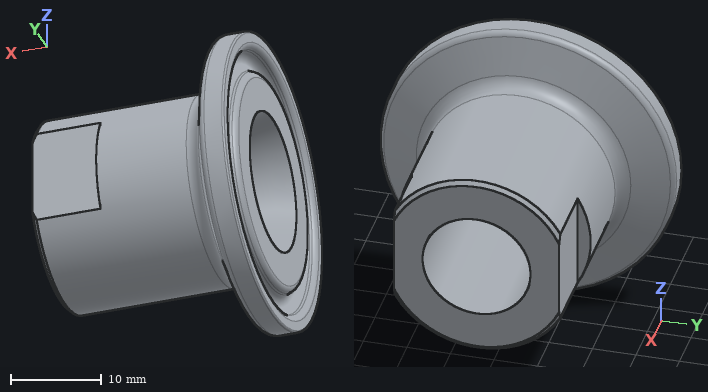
import cadquery as cq
import math

length = 25.0
flange_radius = 34.0 / 2
body_radius = 22.0 / 2

rim_thickness = 2.85
taper_angle = 20.0
front_edge_radius = 0.2
rim_radius = 0.8
neck_radius = 2.0
end_chamfer = 0.5

groove_mid_radius = 27.5 / 2
groove_depth = 1.6
groove_wall_angle = 20.0
groove_bottom_radius = 1.2
groove_lip_radius = 0.8

bore_radius = 12.4 / 2
bore_entry_radius = 16.0 / 2
bore_taper_length = 6.5

flats_across = 19.0
flats_length = 8.0


def revolve_about_x(profile):
    """Close an (x, radius) profile and turn it fully about the X axis."""
    return profile.close().revolve(360, (0, 0, 0), (1, 0, 0))


def arc_point(center, radius, degrees):
    """Point on a circle, with the angle counted from +X towards +radius."""
    angle = math.radians(degrees)
    return (center[0] + radius * math.cos(angle), center[1] + radius * math.sin(angle))


def make_blank():
    """Solid flange and body, before the bore, groove and flats."""
    slope = math.tan(math.radians(taper_angle))
    tangent_ratio = math.tan(math.radians((90 - taper_angle) / 2))
    neck_corner_x = rim_thickness + (flange_radius - body_radius) * slope

    front_center = (front_edge_radius, flange_radius - front_edge_radius)
    rim_center = (rim_thickness - rim_radius * tangent_ratio, flange_radius - rim_radius)
    neck_center = (neck_corner_x + neck_radius * tangent_ratio, body_radius + neck_radius)
    rim_mid_angle = (90 + taper_angle) / 2
    neck_mid_angle = 180 + rim_mid_angle

    profile = (
        cq.Workplane("XY")
        .lineTo(*arc_point(front_center, front_edge_radius, 180))
        .threePointArc(
            arc_point(front_center, front_edge_radius, 135),
            arc_point(front_center, front_edge_radius, 90),
        )
        .lineTo(*arc_point(rim_center, rim_radius, 90))
        .threePointArc(
            arc_point(rim_center, rim_radius, rim_mid_angle),
            arc_point(rim_center, rim_radius, taper_angle),
        )
        .lineTo(*arc_point(neck_center, neck_radius, 180 + taper_angle))
        .threePointArc(
            arc_point(neck_center, neck_radius, neck_mid_angle),
            arc_point(neck_center, neck_radius, 270),
        )
        .lineTo(length - end_chamfer, body_radius)
        .lineTo(length, body_radius - end_chamfer)
        .lineTo(length, 0)
    )
    return revolve_about_x(profile)


def make_groove():
    """Ring to cut: round bottom, short sloped walls and rounded lips."""
    wall = math.radians(groove_wall_angle)
    radii_sum = groove_bottom_radius + groove_lip_radius
    bottom_x = groove_depth - groove_bottom_radius
    wall_height = groove_depth - radii_sum * (1 - math.sin(wall))
    lip_offset = radii_sum * math.cos(wall) + wall_height * math.tan(wall)

    bottom_center = (bottom_x, groove_mid_radius)
    inner_center = (groove_lip_radius, groove_mid_radius - lip_offset)
    outer_center = (groove_lip_radius, groove_mid_radius + lip_offset)
    lip_end_angle = 90 + groove_wall_angle
    lip_mid_angle = (180 + lip_end_angle) / 2
    bottom_end_angle = 90 - groove_wall_angle

    profile = (
        cq.Workplane("XY")
        .moveTo(*arc_point(inner_center, groove_lip_radius, 180))
        .threePointArc(
            arc_point(inner_center, groove_lip_radius, lip_mid_angle),
            arc_point(inner_center, groove_lip_radius, lip_end_angle),
        )
        .lineTo(*arc_point(bottom_center, groove_bottom_radius, -bottom_end_angle))
        .threePointArc(
            arc_point(bottom_center, groove_bottom_radius, 0),
            arc_point(bottom_center, groove_bottom_radius, bottom_end_angle),
        )
        .lineTo(*arc_point(outer_center, groove_lip_radius, -lip_end_angle))
        .threePointArc(
            arc_point(outer_center, groove_lip_radius, -lip_mid_angle),
            arc_point(outer_center, groove_lip_radius, 180),
        )
    )
    return revolve_about_x(profile)


def make_bore():
    """Through bore with its long conical entry."""
    profile = (
        cq.Workplane("XY")
        .lineTo(0, bore_entry_radius)
        .lineTo(bore_taper_length, bore_radius)
        .lineTo(length, bore_radius)
        .lineTo(length, 0)
    )
    return revolve_about_x(profile)


def make_flat(side):
    """Block that cuts one wrench flat; side is -1 or +1 along Y."""
    depth = body_radius - flats_across / 2
    return cq.Workplane("XY").box(flats_length, depth, 2 * body_radius).translate(
        (length - flats_length / 2, side * (flats_across + depth) / 2, 0)
    )


result = make_blank().cut(make_groove()).cut(make_bore())
for side in (-1, 1):
    result = result.cut(make_flat(side))